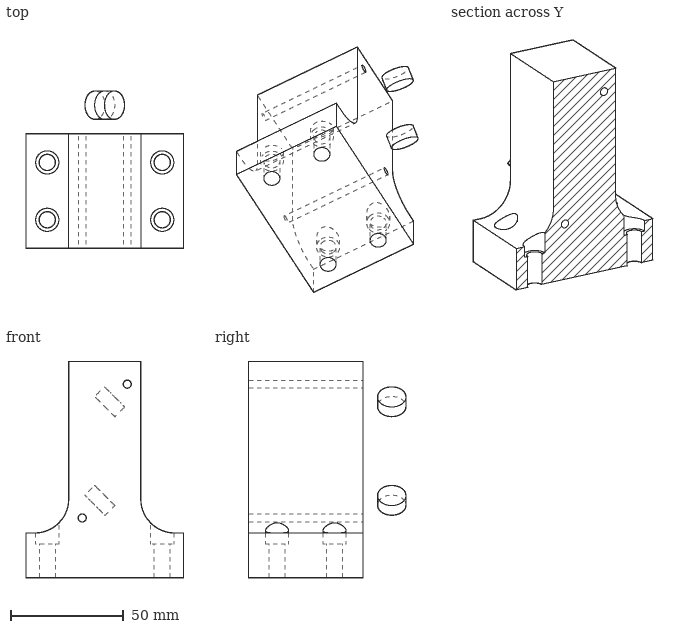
import cadquery as cq
import math

base_width = 70.0
depth = 50.9
height = 96.0
flange_height = 20.0
stem_width = 32.1
fillet_radius = 15.0

bolt_hole_diameter = 7.1
counterbore_diameter = 10.3
counterbore_floor_height = 15.0
bolt_spacing_x = 51.0
bolt_spacing_y = depth / 2

cross_hole_diameter = 3.5
cross_hole_offset = 10.0
lower_cross_hole_height = 26.6
upper_cross_hole_height = 85.9

disc_diameter = 12.7
disc_thickness = 6.1
disc_tilt = math.radians(45)
total_depth = 69.9
disc_y = total_depth - disc_diameter / 2
disc_reach = 11.0


def make_block():
    """T-shaped block with filleted flanges and all its holes."""
    profile = (
        cq.Workplane("XZ")
        .moveTo(-base_width / 2, 0)
        .lineTo(base_width / 2, 0)
        .lineTo(base_width / 2, flange_height)
        .lineTo(stem_width / 2 + fillet_radius, flange_height)
        .radiusArc((stem_width / 2, flange_height + fillet_radius), fillet_radius)
        .lineTo(stem_width / 2, height)
        .lineTo(-stem_width / 2, height)
        .lineTo(-stem_width / 2, flange_height + fillet_radius)
        .radiusArc((-stem_width / 2 - fillet_radius, flange_height), fillet_radius)
        .lineTo(-base_width / 2, flange_height)
        .close()
    )
    block = profile.extrude(-depth)
    return block.cut(make_bolt_hole_cutters()).cut(make_cross_hole_cutters())


def make_bolt_hole_cutters():
    """Four vertical through holes, each with a wider bore above its seat."""
    def cylinders(diameter, bottom):
        return (
            cq.Workplane("XY", origin=(0, depth / 2, bottom))
            .rarray(bolt_spacing_x, bolt_spacing_y, 2, 2)
            .circle(diameter / 2)
            .extrude(height - bottom)
        )

    bolt_holes = cylinders(bolt_hole_diameter, 0)
    counterbores = cylinders(counterbore_diameter, counterbore_floor_height)
    return bolt_holes.union(counterbores)


def make_cross_hole_cutters():
    """Two holes through the full depth of the block."""
    return (
        cq.Workplane("XZ")
        .pushPoints([
            (-cross_hole_offset, lower_cross_hole_height),
            (cross_hole_offset, upper_cross_hole_height),
        ])
        .circle(cross_hole_diameter / 2)
        .extrude(-depth)
    )


def make_disc(center_x, center_z):
    """One tilted disc, given by the middle of its thickness."""
    axis = (math.sin(disc_tilt), 0, math.cos(disc_tilt))
    plane = cq.Plane(origin=(center_x, disc_y, center_z), xDir=(0, 1, 0), normal=axis)
    disc_base = cq.Workplane(plane).workplane(offset=-disc_thickness / 2)
    return disc_base.circle(disc_diameter / 2).extrude(disc_thickness)


block = make_block()

discs = []
for side, hole_height in ((-1, lower_cross_hole_height), (1, upper_cross_hole_height)):
    center_x = side * (cross_hole_offset - disc_reach * math.sin(disc_tilt))
    center_z = hole_height - side * disc_reach * math.cos(disc_tilt)
    discs.append(make_disc(center_x, center_z))

result = cq.Compound.makeCompound([block.val(), *[disc.val() for disc in discs]])